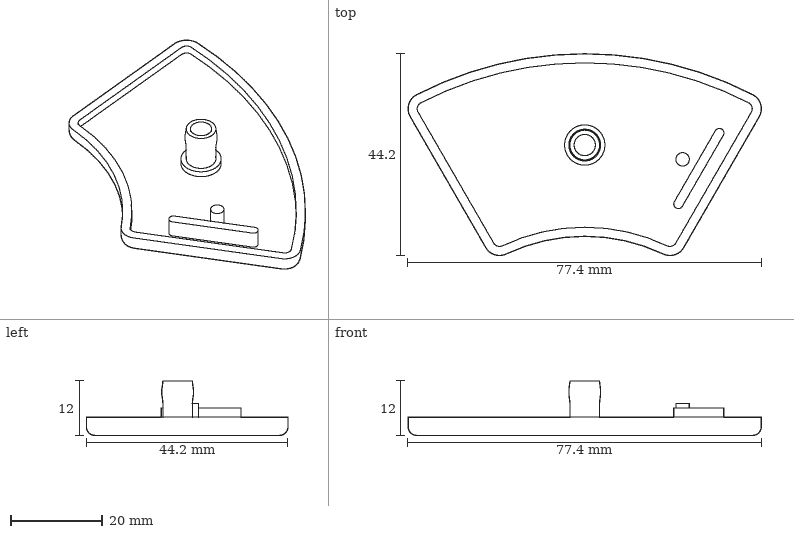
import cadquery as cq
import math

outer_radius = 80.0
inner_radius = outer_radius / 2
half_angle = 30
corner_radius = 3.5
tray_height = 4.0
wall = 2.0
floor_thickness = 2.0
bottom_round = 1.9

floor_bond = floor_thickness / 2

post_y = (outer_radius + inner_radius) / 2
post_radius = 3.25
lip_radius = 3.5
lip_start = 7.05
lip_bottom = 8.9
lip_top = 10.1
post_top = 12.0
bore_radius = 2.3
bore_round_center = floor_thickness + bore_radius
flange_radius = 4.4
flange_top = 3.4

pin_x = 21.4
pin_y = 56.85
pin_radius = 1.5
pin_top = 7.05

rib_inset = 5.8
rib_width = 2.0
rib_center_distance = 17.95
rib_top = 6.0


def polar(radius, angle):
    """Point at a distance from the apex, with the angle measured from +Y toward +X."""
    a = math.radians(angle)
    return (radius * math.sin(a), radius * math.cos(a))


def sector(inset, bottom, top):
    """Ring sector with rounded corners and every side moved inward by the inset."""
    outer = outer_radius - inset
    inner = inner_radius + inset
    outer_angle = half_angle - math.degrees(math.asin(inset / outer))
    inner_angle = half_angle - math.degrees(math.asin(inset / inner))
    return (
        cq.Workplane("XY", origin=(0, 0, bottom))
        .moveTo(*polar(inner, -inner_angle))
        .lineTo(*polar(outer, -outer_angle))
        .threePointArc(polar(outer, 0), polar(outer, outer_angle))
        .lineTo(*polar(inner, inner_angle))
        .threePointArc(polar(inner, 0), polar(inner, -inner_angle))
        .close()
        .extrude(top - bottom)
        .edges("|Z")
        .fillet(corner_radius - inset)
    )


def make_tray():
    """Open tray with a rounded bottom edge and a wall of constant thickness."""
    blank = sector(0, 0, tray_height).faces("<Z").edges().fillet(bottom_round)
    return blank.cut(sector(wall, floor_thickness, tray_height))


def make_post():
    """Revolved post with a foot flange, a snap lip and a bore ending in a hemisphere."""
    bore_curve = math.sqrt(0.5) * bore_radius
    return (
        cq.Workplane("XZ", origin=(0, post_y, 0))
        .moveTo(0, floor_bond)
        .lineTo(flange_radius, floor_bond)
        .lineTo(flange_radius, flange_top)
        .lineTo(post_radius, flange_top)
        .lineTo(post_radius, lip_start)
        .lineTo(lip_radius, lip_bottom)
        .lineTo(lip_radius, lip_top)
        .lineTo(post_radius, post_top)
        .lineTo(bore_radius, post_top)
        .lineTo(bore_radius, bore_round_center)
        .threePointArc(
            (bore_curve, bore_round_center - bore_curve),
            (0, bore_round_center - bore_radius),
        )
        .close()
        .revolve(360, (0, 0), (0, 1))
    )


def make_pin():
    return (
        cq.Workplane("XY", origin=(pin_x, pin_y, floor_bond))
        .circle(pin_radius)
        .extrude(pin_top - floor_bond)
    )


def make_rib():
    """Rib laid out along Y, then swung about the apex to follow the sector side."""
    return (
        cq.Workplane("XY", origin=(-rib_inset, post_y, floor_bond))
        .slot2D(rib_center_distance + rib_width, rib_width, 90)
        .extrude(rib_top - floor_bond)
        .rotate((0, 0, 0), (0, 0, 1), -half_angle)
    )


result = make_tray().union(make_post()).union(make_pin()).union(make_rib())